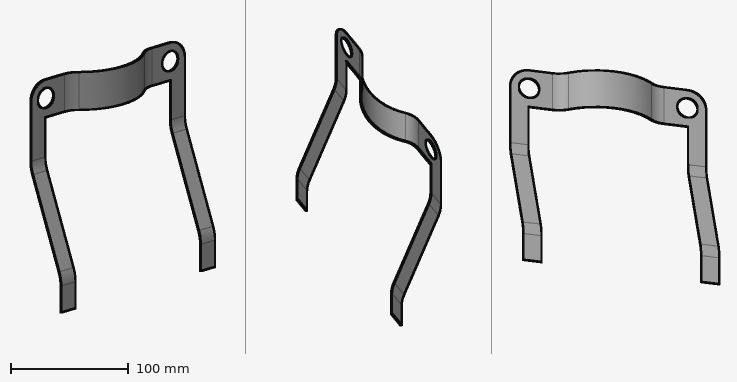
import cadquery as cq
import math

overall_depth = 40.0
overall_width = 174.0
overall_height = 196.2
thickness = 1.2

strap_height = 34.1
saddle_half_span = 49.5
entry_bend_radius = 20.0
saddle_radius = 55.0
corner_radius = 16.7
hole_diameter = 18.0
hole_inset = 16.7

leg_width = 16.0
upper_leg_length = 69.8
foot_length = 24.3
bend_outer_radius = 30.0
bend_inner_radius = bend_outer_radius - thickness

saddle_angle = math.asin(saddle_half_span / (entry_bend_radius + saddle_radius))
strap_end_length = overall_width / 2 - saddle_half_span

joggle_depth = overall_depth - thickness
joggle_length = overall_height - upper_leg_length - foot_length
bend_radius_sum = bend_outer_radius + bend_inner_radius
slope_length = math.sqrt(joggle_length**2 + joggle_depth**2 - 2 * bend_radius_sum * joggle_depth)
slope_angle = (math.atan2(joggle_length, bend_radius_sum - joggle_depth)
               - math.atan2(slope_length, bend_radius_sum))


def straight(length):
    return length, 0.0, 0.0


def bend(radius, angle):
    """Bend with its -X face radius; a positive angle turns toward +X."""
    return 0.0, radius, angle


def draw_band(plane, segments, start, direction):
    """Draw the closed outline of a constant-thickness sheet whose -X face follows the segments.

    The sheet starts at the given position and runs along the second sketch axis,
    upward for direction 1 and downward for direction -1.
    """
    along = start
    depth = 0.0
    heading = 0.0
    stations = [(depth, along, heading)]
    middles = []
    for length, radius, angle in segments:
        half_chord = 2 * radius * math.sin(abs(angle) / 4)
        chord = 2 * radius * math.sin(abs(angle) / 2)
        middle_heading = heading + angle / 4
        middles.append((
            depth + half_chord * math.sin(middle_heading),
            along + direction * half_chord * math.cos(middle_heading),
            heading + angle / 2,
        ) if angle else None)
        travel = chord if angle else length
        travel_heading = heading + angle / 2
        depth += travel * math.sin(travel_heading)
        along += direction * travel * math.cos(travel_heading)
        heading += angle
        stations.append((depth, along, heading))

    def near(station):
        return station[0], station[1]

    def far(station):
        x, y, angle = station
        return x + thickness * math.cos(angle), y - direction * thickness * math.sin(angle)

    def draw(sketch, ends, arc_middles, side):
        for end, middle in zip(ends, arc_middles):
            if middle:
                sketch = sketch.threePointArc(side(middle), side(end))
            else:
                sketch = sketch.lineTo(*side(end))
        return sketch

    sketch = plane.moveTo(*near(stations[0]))
    sketch = draw(sketch, stations[1:], middles, near)
    sketch = sketch.lineTo(*far(stations[-1]))
    sketch = draw(sketch, stations[-2::-1], middles[::-1], far)
    return sketch.close()


def make_strap():
    segments = [
        straight(strap_end_length),
        bend(entry_bend_radius, saddle_angle),
        bend(saddle_radius, -saddle_angle),
        bend(saddle_radius, -saddle_angle),
        bend(entry_bend_radius, saddle_angle),
        straight(strap_end_length),
    ]
    plane = cq.Workplane("XY").workplane(offset=overall_height - strap_height)
    return draw_band(plane, segments, -overall_width / 2, 1).extrude(strap_height)


def make_leg(center_y):
    segments = [
        straight(upper_leg_length),
        bend(bend_outer_radius, slope_angle),
        straight(slope_length),
        bend(bend_inner_radius, -slope_angle),
        straight(foot_length),
    ]
    plane = cq.Workplane("XZ", origin=(0, center_y, 0))
    return draw_band(plane, segments, overall_height, -1).extrude(leg_width / 2, both=True)


result = make_strap()
for side in (-1, 1):
    result = result.union(make_leg(side * (overall_width - leg_width) / 2))

result = result.edges("|X").edges(">Z").edges("<Y or >Y").fillet(corner_radius)

hole_y = overall_width / 2 - hole_inset
hole_z = overall_height - hole_inset
holes = (
    cq.Workplane("YZ")
    .pushPoints([(-hole_y, hole_z), (hole_y, hole_z)])
    .circle(hole_diameter / 2)
    .extrude(thickness)
)
result = result.cut(holes)